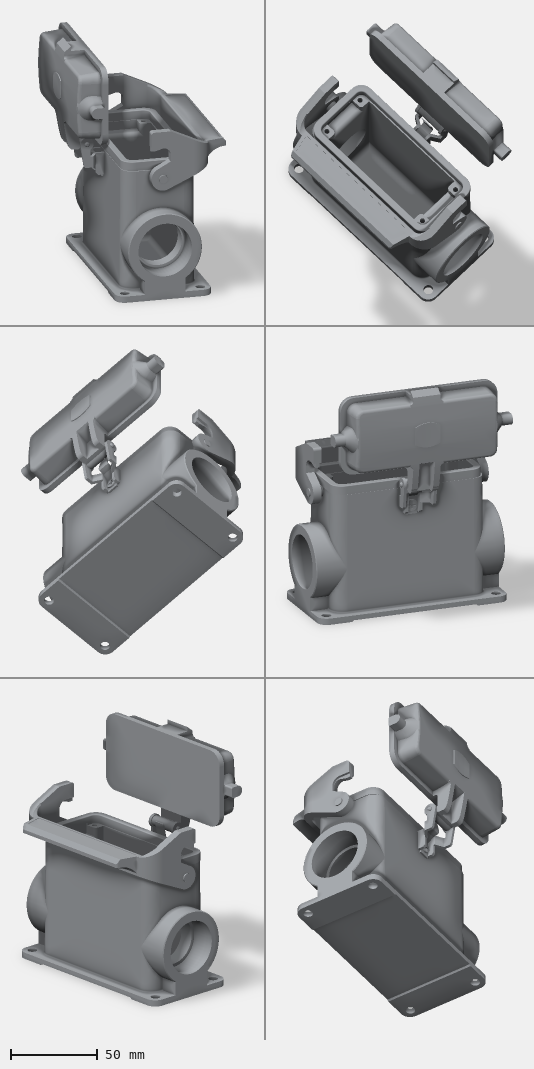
import cadquery as cq
import math

base_length = 117.0
base_width = 57.2
base_height = 3.8
base_corner = 6.0
base_hole_dia = 5.6
base_hole_x = 52.6
base_hole_y = 22.5
foot_inner_x = 38.0
foot_step = 0.9

body_length = 94.6
body_width = 44.4
body_corner = 8.0
body_draft = 0.4
body_top = 75.2
root_fillet = 0.8
collar_length = 93.0
collar_width = 43.0
collar_corner = 7.4
collar_shift_x = -0.7
rim_top = 80.6
rim_outer_fillet = 0.4
rim_inner_fillet = 0.6

mouth_length = 84.8
mouth_width = 35.0
mouth_corner = 4.0
cavity_length = 69.4
cavity_width = 33.4
cavity_floor = 4.5
floor_fillet = 3.0
pad_top = body_top
pad_slot_floor = 70.0
pad_slot_width = 20.8
pad_slot_fillet = 2.6
pad_corner_fillet = 2.0
pad_hole_dia = 2.95
pad_hole_depth = 8.0
pad_hole_x = 38.8
pad_hole_y = 13.5

entry_z = 30.0
entry_radius = 22.0
entry_inner_x = 36.0
entry_bore_dia = 28.0
entry_counterbore_dia = 32.0
entry_counterbore_depth = 15.0
entry_edge_chamfer = 0.5
pedestal_width = 24.2

pivot_z = 71.8
pivot_boss_dia = 7.0
pivot_stud_dia = 4.8
pivot_stud_end = 55.0
lever_hole_dia = 5.1
lever_inner_x = 49.3
lever_outer_x = 54.4
lever_back_y = 29.1
lever_back_thickness = 4.1
lever_bend = 10.4
lever_eye_radius = 7.0
lever_nose_y = -7.0
lever_top_z = 100.4
lever_bar_bottom = 77.2
lever_bar_top = 89.0
lever_bar_fillet = 0.9
bar_end_radius = 6.5
lever_shoulder_y = 4.4
lever_nose_fillet = 1.6
hook_top_z = 91.2
hook_bottom_z = 82.1
hook_radius = 4.9
hook_rib_width = 2.3
hook_rib_depth = 1.5
hook_rib_tip = 2.6
handle_tip_y = 41.55
handle_root_half = 43.6
handle_tip_half = 40.4
handle_tip_bottom = 84.0
handle_tip_bevel_y = 2.2
handle_tip_bevel_z = 2.8
handle_tip_fillet = 1.5
handle_underside_mid = (34.9, 83.2)
handle_panel_margin = 2.2
handle_panel_depth = 0.3

cover_z = 115.1
cover_back_y = -31.1
cover_flange_front = -34.6
cover_length = 97.2
cover_height = 46.6
cover_corner = 8.0
shell_length = 90.0
shell_height = 40.4
shell_corner = 5.5
shell_draft = 5.0
shell_edge_fillet = 2.0
crown_y = -48.3
crown_radius = 143.0
emblem_y = -48.83
emblem_half_width = 7.7
emblem_side_half = 5.3
emblem_half_height = 7.4
band_half_width = 8.5
latch_tip_z = 141.15
latch_tip_y = -42.6
latch_slope_end_y = -46.4
latch_slope_end_z = 138.1
lug_end_x = 55.0
lug_back_y = -34.9
lug_centre_y = -39.6
lug_radius = 3.25
lug_back_fillet = 1.0
lug_cone_height = 5.9
lug_cone_angle = 45.0

hinge_y = -33.5
hinge_z = 81.4
hinge_pin_dia = 3.0
hinge_pin_half = 11.4
hinge_pin_tip = 0.7
knuckle_radius = 3.2
tongue_back_y = -37.6
tongue_bottom_z = 78.3
tongue_calf_y = -46.8
tongue_calf_z = 91.0
tongue_shin_y = -43.8
tongue_shin_z = 80.6
tongue_toe_y = -41.6
tongue_toe_radius = 3.0
tongue_calf_mid = (-45.8, 85.5)
tongue_back_radius = 1.4
band_root_fillet = 1.7
band_root_drop = 1.2
tongue_slot_half = 4.8
tongue_slot_y = -38.5
tongue_slot_top = 98.1
tongue_slot_floor_top = 94.4

bracket_top = 73.8
bracket_bottom = 60.5
bracket_step_z = 67.1
bracket_front_y = -26.7
bracket_inner_half = 3.5
bracket_outer_half = 5.3
bracket_sheet = 1.8
arm_radius = 3.9
arm_outer_half = band_half_width + bracket_sheet
arm_back_y = -31.5
arm_bottom_front_y = -35.2
bracket_toe_bevel = 1.3
arm_heel_bevel = 0.8

spring_sheet = 0.7
spring_bottom = 59.0
spring_knee_z = 70.0
spring_bends = [(-26.6, 73.0), (-30.0, 73.8), (-30.7, 75.0), (-29.9, 79.3), (-28.9, 83.6)]
screw_z = 64.6
screw_head_dia = 7.0
screw_head_front = -23.8
screw_slot_width = 1.0
screw_slot_length = 4.8
screw_slot_depth = 0.8

embed = 1.5
clear = 5.0
margin = 0.1

arc_inset = 1 - math.sqrt(0.5)


def centred_box(length, width, z_low, z_high):
    return cq.Workplane("XY").workplane(offset=z_low).rect(length, width).extrude(z_high - z_low)


def span_box(x_low, x_high, y_low, y_high, z_low, z_high):
    size = (x_high - x_low, y_high - y_low, z_high - z_low)
    return cq.Workplane("XY").box(*size, centered=False).translate((x_low, y_low, z_low))


def across_x(x_low):
    """Sketch plane for a Y-Z profile; extruding it runs towards +X."""
    return cq.Workplane("YZ").workplane(offset=x_low)


def rod_x(x_low, x_high, y, z, diameter):
    return across_x(x_low).center(y, z).circle(diameter / 2).extrude(x_high - x_low)


def both_sides(shape):
    """The shape together with its mirror image at -X."""
    return shape.union(shape.mirror("YZ"))


def box_around(centre, half_x, half_y, half_z):
    """Selector for the edges lying wholly inside a box."""
    halves = (half_x, half_y, half_z)
    low = tuple(c - h for c, h in zip(centre, halves))
    high = tuple(c + h for c, h in zip(centre, halves))
    return cq.selectors.BoxSelector(low, high, boundingbox=True)


def tangent_point(px, pz, cx, cz, radius, side):
    """Point where the tangent from (px, pz) touches a circle; side is +1 or -1."""
    reach = math.hypot(px - cx, pz - cz)
    angle = math.atan2(pz - cz, px - cx) + side * math.acos(radius / reach)
    return cx + radius * math.cos(angle), cz + radius * math.sin(angle)


def housing_shell():
    body = (
        cq.Workplane("XY").workplane(offset=base_height)
        .sketch().rect(body_length, body_width).vertices().fillet(body_corner).finalize()
        .extrude(body_top - base_height, taper=body_draft)
    )
    collar = centred_box(collar_length, collar_width, body_top, rim_top)
    collar = collar.edges("|Z").fillet(collar_corner).translate((collar_shift_x, 0, 0))
    base = centred_box(base_length, base_width, 0, base_height).edges("|Z").fillet(base_corner)
    shell = base.union(body)
    root = box_around((0, 0, base_height), body_length / 2 + margin, body_width / 2 + margin, margin)
    shell = shell.edges(root).fillet(root_fillet)
    return shell.union(collar)


def cable_entry():
    end_x = base_length / 2
    barrel = rod_x(entry_inner_x, end_x, 0, entry_z, 2 * entry_radius)
    barrel = barrel.faces(">X").edges().chamfer(entry_edge_chamfer)
    pedestal = span_box(entry_inner_x, end_x, -pedestal_width / 2, pedestal_width / 2, embed, entry_z)
    return barrel.union(pedestal)


def lever_pivot():
    boss = rod_x(body_length / 2 - 2 * embed, lever_inner_x, 0, pivot_z, pivot_boss_dia)
    stud = rod_x(lever_inner_x - embed, pivot_stud_end, 0, pivot_z, pivot_stud_dia)
    return boss.union(stud)


def housing_cavity():
    mouth = centred_box(mouth_length, mouth_width, pad_top, rim_top).edges("|Z").fillet(mouth_corner)
    mouth = mouth.translate((collar_shift_x, 0, 0))
    well = centred_box(cavity_length, cavity_width, cavity_floor, pad_top + embed)
    well = well.edges("<Z").fillet(floor_fillet)
    slot = centred_box(mouth_length, pad_slot_width, pad_slot_floor, pad_top + embed)
    return mouth.union(well).union(slot)


def hinge_bracket():
    wall_y = -body_width / 2 + embed
    leg = span_box(bracket_inner_half, bracket_outer_half, bracket_front_y, wall_y,
                   bracket_bottom, bracket_top)
    leg = leg.edges("|X and <Y and <Z").chamfer(bracket_toe_bevel)
    sheet = (
        cq.Workplane("XY").workplane(offset=bracket_step_z)
        .moveTo(bracket_inner_half, bracket_front_y + embed)
        .lineTo(bracket_outer_half, bracket_front_y + embed)
        .lineTo(bracket_outer_half, bracket_front_y)
        .lineTo(arm_outer_half, arm_back_y + bracket_sheet)
        .lineTo(arm_outer_half, arm_back_y - embed)
        .lineTo(band_half_width, arm_back_y - embed)
        .lineTo(band_half_width, arm_back_y + bracket_sheet / 2)
        .lineTo(bracket_inner_half, bracket_front_y - bracket_sheet / 2)
        .close().extrude(bracket_top - bracket_step_z)
    )
    heel = (arm_bottom_front_y, bracket_step_z + arm_heel_bevel)
    heel_bottom = (arm_bottom_front_y + arm_heel_bevel, bracket_step_z)
    heel_touch = tangent_point(*heel, hinge_y, hinge_z, arm_radius, -1)
    arm = (
        across_x(band_half_width)
        .polyline([(arm_back_y, bracket_step_z), heel_bottom, heel, heel_touch,
                   (hinge_y, hinge_z), (arm_back_y, hinge_z)])
        .close().extrude(bracket_sheet)
    )
    eye = rod_x(band_half_width, arm_outer_half, hinge_y, hinge_z, 2 * arm_radius)
    pin = rod_x(-hinge_pin_half, hinge_pin_half, hinge_y, hinge_z, hinge_pin_dia)
    pin = pin.faces("<X or >X").edges().chamfer(hinge_pin_tip)
    return both_sides(leg.union(sheet).union(arm).union(eye)).union(pin)


def spring_strip():
    """Bent strip: screwed to the wall, led out between the legs, then up behind the knuckle."""
    foot_y = -body_width / 2 - spring_sheet
    foot = [(foot_y, spring_bottom), (foot_y, spring_knee_z)]
    back = [(y + spring_sheet, z) for y, z in reversed(spring_bends[2:])]
    back += [(y, z + spring_sheet) for y, z in reversed(spring_bends[:2])]
    back += [(foot_y + embed, spring_knee_z), (foot_y + embed, spring_bottom)]
    return (
        across_x(-bracket_inner_half).polyline(foot + spring_bends + back).close()
        .extrude(2 * bracket_inner_half)
    )


def screw_head():
    """Round screw head and the cross-shaped slot to be cut into it."""
    wall_y = -body_width / 2
    head = (
        cq.Workplane("XZ", origin=(0, wall_y, screw_z))
        .circle(screw_head_dia / 2).extrude(wall_y - screw_head_front)
    )
    slot = (
        cq.Workplane("XZ", origin=(0, screw_head_front + screw_slot_depth, screw_z))
        .rect(screw_slot_length, screw_slot_width).extrude(screw_slot_depth)
    )
    return head, slot.union(slot.rotate((0, 0, screw_z), (0, 1, screw_z), 90))


def cut_entry_bores(housing):
    half = base_length / 2
    housing = housing.cut(rod_x(-half, half, 0, entry_z, entry_bore_dia))
    counterbore = rod_x(half - entry_counterbore_depth, half, 0, entry_z, entry_counterbore_dia)
    return housing.cut(both_sides(counterbore))


def cut_holes(housing):
    """Mounting holes, the shallow channel under the base and the pad screw holes."""
    mount_holes = (
        cq.Workplane("XY").rect(2 * base_hole_x, 2 * base_hole_y, forConstruction=True).vertices()
        .circle(base_hole_dia / 2).extrude(base_height)
    )
    channel = (
        cq.Workplane("XZ", origin=(0, base_width / 2, 0))
        .polyline([(-foot_inner_x - foot_step, 0), (-foot_inner_x, foot_step),
                   (foot_inner_x, foot_step), (foot_inner_x + foot_step, 0)])
        .close().extrude(base_width)
    )
    pad_holes = (
        cq.Workplane("XY").workplane(offset=pad_top - pad_hole_depth)
        .rect(2 * pad_hole_x, 2 * pad_hole_y, forConstruction=True).vertices()
        .circle(pad_hole_dia / 2).extrude(pad_hole_depth)
    )
    return housing.cut(mount_holes).cut(channel).cut(pad_holes)


def make_housing():
    shell = housing_shell().union(both_sides(cable_entry()))
    shell = cut_entry_bores(shell.cut(housing_cavity()))
    rim = shell.faces(">Z")
    shell = rim.wires(cq.selectors.LengthNthSelector(-1)).fillet(rim_outer_fillet)
    shell = shell.faces(">Z").wires(cq.selectors.LengthNthSelector(0)).fillet(rim_inner_fillet)
    slot_depth = pad_top - pad_slot_floor
    for x in (-cavity_length / 2, cavity_length / 2):
        brow = box_around((x, 0, pad_slot_floor), margin, pad_slot_width / 2 + margin, margin)
        shell = shell.edges(brow).edges("|Y").fillet(pad_slot_fillet)
        for y in (-pad_slot_width / 2, pad_slot_width / 2):
            corner = box_around((x, y, pad_slot_floor + slot_depth / 2), margin, margin, slot_depth)
            shell = shell.edges(corner).edges("|Z").fillet(pad_corner_fillet)
    head, cross_slot = screw_head()
    hinge = hinge_bracket().union(spring_strip()).union(head).cut(cross_slot)
    return cut_holes(shell).union(both_sides(lever_pivot())).union(hinge)


def lever_profile():
    """Side outline of the lever plates, with the hook slot and the round eye."""
    eye = (0, pivot_z)
    bar_bottom = (lever_back_y, lever_bar_bottom)
    bottom_touch = tangent_point(*bar_bottom, *eye, lever_eye_radius, -1)
    slot_corner = (lever_shoulder_y, hook_bottom_z)
    front_touch = tangent_point(*slot_corner, *eye, lever_eye_radius, 1)
    arc_mid = (
        lever_shoulder_y - hook_radius * arc_inset,
        hook_top_z - hook_radius * arc_inset,
    )
    plate = (
        across_x(-lever_outer_x)
        .moveTo(*bar_bottom)
        .lineTo(lever_back_y, lever_bar_top)
        .lineTo(lever_shoulder_y, lever_top_z)
        .lineTo(lever_nose_y, lever_top_z)
        .lineTo(lever_nose_y, hook_top_z)
        .lineTo(lever_shoulder_y - hook_radius, hook_top_z)
        .threePointArc(arc_mid, (lever_shoulder_y, hook_top_z - hook_radius))
        .lineTo(*slot_corner)
        .lineTo(*front_touch)
        .threePointArc((-lever_eye_radius * math.sqrt(0.5), pivot_z - lever_eye_radius * math.sqrt(0.5)),
                       bottom_touch)
        .close().extrude(2 * lever_outer_x)
    )
    return plate.edges("|X and <Y and >Z").fillet(lever_nose_fillet)


def lever_bow():
    """U-shaped plan of the lever: two arms joined by the bar at the back."""
    front_y = -lever_eye_radius - clear
    outer = span_box(-lever_outer_x, lever_outer_x, front_y, lever_back_y, 0, lever_top_z + clear)
    outer = outer.edges("|Z and >Y").fillet(lever_bend)
    inner_back = lever_back_y - lever_back_thickness
    inner = span_box(-lever_inner_x, lever_inner_x, front_y, inner_back, 0, lever_top_z + clear)
    inner = inner.edges("|Z and >Y").fillet(lever_bend - lever_back_thickness)
    return outer.cut(inner)


def hook_rib():
    """Thin rib lining the top of the hook slot and hanging lower at the nose."""
    start_y = lever_shoulder_y - hook_radius
    rib_x = (lever_inner_x + lever_outer_x - hook_rib_width) / 2
    return (
        across_x(rib_x)
        .moveTo(lever_nose_y, hook_top_z + embed)
        .lineTo(lever_nose_y, hook_top_z - hook_rib_tip)
        .lineTo(lever_nose_y + hook_rib_tip, hook_top_z - hook_rib_tip)
        .lineTo(start_y, hook_top_z - hook_rib_depth)
        .threePointArc((start_y + hook_radius / 2, hook_top_z - hook_rib_depth),
                       (lever_shoulder_y, hook_top_z - hook_radius))
        .lineTo(lever_shoulder_y, hook_top_z + embed)
        .close().extrude(hook_rib_width)
    )


def handle_plan(inset, root_y, tip_y):
    """Trapezoid from the root line to the tip line, moved in from the handle sides by an inset."""
    slope = (handle_root_half - handle_tip_half) / (handle_tip_y - lever_back_y)
    root_half = handle_root_half - inset - slope * (root_y - lever_back_y)
    tip_half = handle_root_half - inset - slope * (tip_y - lever_back_y)
    return cq.Workplane("XY").polyline(
        [(-root_half, root_y), (root_half, root_y), (tip_half, tip_y), (-tip_half, tip_y)]
    ).close()


def lever_handle():
    root_y = lever_back_y - lever_back_thickness
    plan = handle_plan(0, root_y, handle_tip_y).extrude(lever_top_z)
    plan = plan.edges("|Z and >Y").fillet(handle_tip_fillet)
    side = (
        across_x(-lever_outer_x)
        .moveTo(root_y, lever_bar_bottom + embed)
        .lineTo(root_y, lever_bar_top)
        .lineTo(handle_tip_y - handle_tip_bevel_y, lever_bar_top)
        .lineTo(handle_tip_y, lever_bar_top - handle_tip_bevel_z)
        .lineTo(handle_tip_y, handle_tip_bottom)
        .lineTo(handle_tip_y - handle_tip_bevel_y, handle_tip_bottom)
        .threePointArc(handle_underside_mid, (lever_back_y, lever_bar_bottom + embed))
        .close().extrude(2 * lever_outer_x)
    )
    return plan.intersect(side)


def handle_panel():
    root_y = lever_back_y - lever_back_thickness + handle_panel_margin
    tip_y = handle_tip_y - handle_tip_bevel_y - handle_panel_margin / 2
    panel = handle_plan(handle_panel_margin, root_y, tip_y).extrude(handle_panel_depth)
    return panel.translate((0, 0, lever_bar_top - handle_panel_depth))


def bar_relief():
    """Levels the back bar at handle height, rising in an arc towards each bend."""
    relief = span_box(-handle_root_half - bar_end_radius, handle_root_half + bar_end_radius,
                      lever_back_y - lever_bend, lever_back_y + embed,
                      lever_bar_top, lever_top_z + clear)
    return relief.edges("|Y and <Z").fillet(bar_end_radius)


def make_lever():
    bow = lever_profile().intersect(lever_bow()).cut(bar_relief())
    lever = bow.union(both_sides(hook_rib())).union(lever_handle()).cut(handle_panel())
    inner_back = lever_back_y - lever_back_thickness
    inner_edge = box_around((0, inner_back, lever_bar_top), handle_root_half + margin, margin, margin)
    lever = lever.edges(inner_edge).fillet(lever_bar_fillet)
    return lever.cut(rod_x(-lever_outer_x, lever_outer_x, 0, pivot_z, lever_hole_dia))


def cover_block(length, height, corner, y_back, y_front, draft=0.0):
    """Rounded rectangle on the cover centre, standing out towards -Y."""
    return (
        cq.Workplane("XZ", origin=(0, y_back, cover_z))
        .sketch().rect(length, height).vertices().fillet(corner).finalize()
        .extrude(y_back - y_front, taper=draft)
    )


def crown_rod(front_y):
    """Large cylinder along X whose surface crowns the front of the cover at the given Y."""
    return rod_x(-cover_length / 2, cover_length / 2, front_y + crown_radius, cover_z, 2 * crown_radius)


def cover_shell():
    shell = cover_block(shell_length, shell_height, shell_corner, cover_flange_front + embed,
                        crown_y - clear, shell_draft)
    shell = shell.intersect(crown_rod(crown_y))
    shell = shell.faces("<Y").edges().fillet(shell_edge_fillet)
    flange = cover_block(cover_length, cover_height, cover_corner, cover_back_y, cover_flange_front)
    return flange.union(shell)


def cover_band():
    """Central strip from the latch tip at the top down to the hinge tongue."""
    flange_top = cover_z + cover_height / 2
    flange_bottom = cover_z - cover_height / 2
    return (
        across_x(-band_half_width)
        .moveTo(cover_back_y, flange_bottom)
        .lineTo(cover_back_y, flange_top)
        .lineTo(latch_tip_y, flange_top)
        .lineTo(latch_tip_y, latch_tip_z)
        .lineTo(latch_slope_end_y, latch_slope_end_z)
        .lineTo(crown_y, latch_slope_end_z)
        .lineTo(crown_y, tongue_calf_z)
        .lineTo(tongue_calf_y, tongue_calf_z)
        .threePointArc(tongue_calf_mid, (tongue_shin_y, tongue_shin_z))
        .radiusArc((tongue_toe_y, tongue_bottom_z), -tongue_toe_radius)
        .lineTo(tongue_back_y, tongue_bottom_z)
        .lineTo(tongue_back_y, flange_bottom - tongue_back_radius)
        .radiusArc((tongue_back_y + tongue_back_radius, flange_bottom), tongue_back_radius)
        .close().extrude(2 * band_half_width)
        .intersect(crown_rod(crown_y))
    )


def band_gussets():
    """Concave corners where the band leaves the top and bottom of the shell."""
    foot_z = shell_height / 2 - 2 * shell_edge_fillet
    tip_x = band_half_width + band_root_fillet
    tip_z = shell_height / 2 - band_root_drop
    top_z = tip_z + band_root_fillet
    bulge = band_root_fillet * arc_inset
    gusset = (
        cq.Workplane("XZ", origin=(0, cover_flange_front + embed / 2, cover_z))
        .moveTo(0, foot_z)
        .lineTo(tip_x, foot_z)
        .lineTo(tip_x, tip_z)
        .threePointArc((band_half_width + bulge, tip_z + bulge), (band_half_width, top_z))
        .lineTo(0, top_z)
        .close().extrude(latch_tip_z)
    )
    upper = both_sides(gusset).intersect(crown_rod(crown_y))
    return upper.union(upper.mirror("XY", (0, 0, cover_z)))


def hinge_knuckle():
    knuckle = rod_x(-band_half_width, band_half_width, hinge_y, hinge_z, 2 * knuckle_radius)
    neck = span_box(-band_half_width, band_half_width, tongue_back_y - embed / 2, hinge_y,
                    tongue_bottom_z + embed / 2, hinge_z + knuckle_radius / 2)
    pin_hole = rod_x(-band_half_width, band_half_width, hinge_y, hinge_z, hinge_pin_dia)
    return knuckle.union(neck).cut(pin_hole)


def tongue_slot():
    front_y = crown_y - clear
    slope = (tongue_slot_top - tongue_slot_floor_top) / (tongue_slot_y - crown_y)
    return (
        across_x(-tongue_slot_half)
        .polyline([(tongue_slot_y, tongue_bottom_z - clear), (tongue_slot_y, tongue_slot_floor_top),
                   (front_y, tongue_slot_top + slope * clear), (front_y, tongue_bottom_z - clear)])
        .close().extrude(2 * tongue_slot_half)
    )


def cover_lug():
    """Flat-backed locking pin on a flared root."""
    def outline(x):
        return (
            across_x(x)
            .moveTo(lug_back_y, cover_z - lug_radius)
            .lineTo(lug_centre_y, cover_z - lug_radius)
            .threePointArc((lug_centre_y - lug_radius, cover_z), (lug_centre_y, cover_z + lug_radius))
            .lineTo(lug_back_y, cover_z + lug_radius)
            .close()
        )
    root_x = cover_length / 2 - lug_cone_height
    pin = outline(root_x).extrude(lug_end_x - root_x)
    pin = pin.edges("|X and >Y").fillet(lug_back_fillet)
    flare = outline(cover_length / 2).extrude(-lug_cone_height, taper=-lug_cone_angle)
    behind_front = span_box(0, lug_end_x, crown_y, cover_flange_front + embed, 0, latch_tip_z)
    return pin.union(flare.intersect(behind_front).intersect(crown_rod(crown_y)))


def emblem_pad():
    """Shallow barrel-shaped pad in the middle of the front."""
    return (
        cq.Workplane("XZ", origin=(0, crown_y + embed, cover_z))
        .moveTo(-emblem_half_width, -emblem_side_half)
        .threePointArc((0, -emblem_half_height), (emblem_half_width, -emblem_side_half))
        .lineTo(emblem_half_width, emblem_side_half)
        .threePointArc((0, emblem_half_height), (-emblem_half_width, emblem_side_half))
        .close().extrude(clear)
        .intersect(crown_rod(emblem_y))
    )


def make_cover():
    cover = cover_shell().union(cover_band()).union(band_gussets()).cut(tongue_slot())
    return cover.union(hinge_knuckle()).union(both_sides(cover_lug())).union(emblem_pad())


housing = make_housing()
lever = make_lever()
cover = make_cover()
result = cq.Compound.makeCompound([housing.val(), lever.val(), cover.val()])